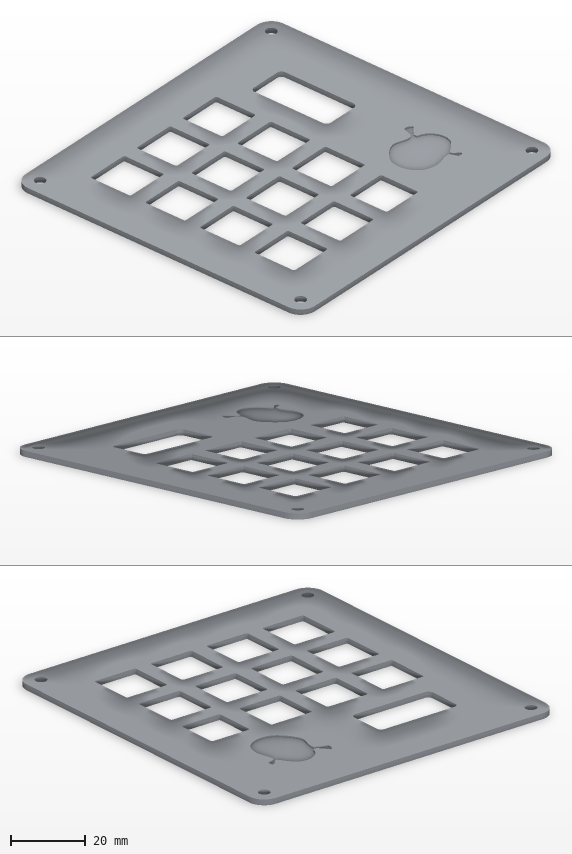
import cadquery as cq

plate_width = 101.0
plate_length = 106.0
plate_thickness = 1.7
plate_corner_radius = 5.0

screw_hole_diameter = 3.4
screw_hole_inset = 5.0

key_size = 14.0
key_pitch = 19.1
key_columns = 4
key_rows = 3
key_corner_radius = 0.5
first_key_x = -29.2
first_key_y = 6.9

small_key_size = 13.0
small_key_center = (28.9, 6.3)
small_key_position = (key_columns - 1, 0)

display_width = 26.8
display_height = 12.6
display_center = (-17.8, 28.6)
display_corner_radius = 1.5

recess_depth = 0.5
left_ear_top = (17.5, 33.6)
left_ear_base = (16.3, 32.5)
right_ear_top = (29.4, 33.1)
right_ear_base = (29.9, 32.4)
crown_points = [(19.3, 36.8), (22.8, 38.3), (25.9, 37.5), (27.8, 35.5)]
right_side_points = [(29.8, 30.6), (30.6, 27.5), (30.5, 24.4), (29.6, 22.0)]
chin_points = [(26.0, 19.4), (23.3, 19.0), (20.8, 19.4)]
left_side_points = [(18.1, 21.3), (16.0, 24.2), (15.3, 26.5), (16.4, 30.8)]
right_ear_points = [(30.1, 33.3), (31.8, 35.1), (32.4, 34.7), (32.4, 33.2), (31.1, 32.9)]
left_ear_points = [(15.2, 33.3), (12.6, 34.0), (12.5, 35.3), (13.7, 36.8), (15.4, 34.6), (16.3, 33.6)]


def make_plate():
    """Flat plate centred on the origin, with its underside at Z = 0."""
    plate = cq.Workplane("XY").box(plate_width, plate_length, plate_thickness, centered=(True, True, False))
    return plate.edges("|Z").fillet(plate_corner_radius)


def rounded_opening(center, width, height, corner_radius):
    """Cutter for a rounded rectangular opening through the plate."""
    opening = cq.Workplane("XY").center(*center).rect(width, height).extrude(plate_thickness)
    return opening.edges("|Z").fillet(corner_radius)


def cut_screw_holes(plate):
    spacing_x = plate_width - 2 * screw_hole_inset
    spacing_y = plate_length - 2 * screw_hole_inset
    corners = plate.faces(">Z").workplane(origin=(0, 0, 0)).rect(spacing_x, spacing_y, forConstruction=True)
    return corners.vertices().hole(screw_hole_diameter)


def cut_key_openings(plate):
    for row in range(key_rows):
        for column in range(key_columns):
            size = key_size
            center = (first_key_x + column * key_pitch, first_key_y - row * key_pitch)
            if (column, row) == small_key_position:
                size = small_key_size
                center = small_key_center
            plate = plate.cut(rounded_opening(center, size, size, key_corner_radius))
    return plate


def cut_display_window(plate):
    return plate.cut(rounded_opening(display_center, display_width, display_height, display_corner_radius))


def cut_head_recess(plate):
    face_points = right_side_points + chin_points + left_side_points + [left_ear_base]
    outline = cq.Workplane("XY", origin=(0, 0, plate_thickness - recess_depth)).moveTo(*left_ear_top)
    outline = outline.spline(crown_points + [right_ear_top], includeCurrent=True)
    for point in right_ear_points:
        outline = outline.lineTo(*point)
    outline = outline.lineTo(*right_ear_base)
    outline = outline.spline(face_points, includeCurrent=True)
    for point in left_ear_points:
        outline = outline.lineTo(*point)
    return plate.cut(outline.close().extrude(recess_depth))


result = make_plate()
result = cut_screw_holes(result)
result = cut_key_openings(result)
result = cut_display_window(result)
result = cut_head_recess(result)